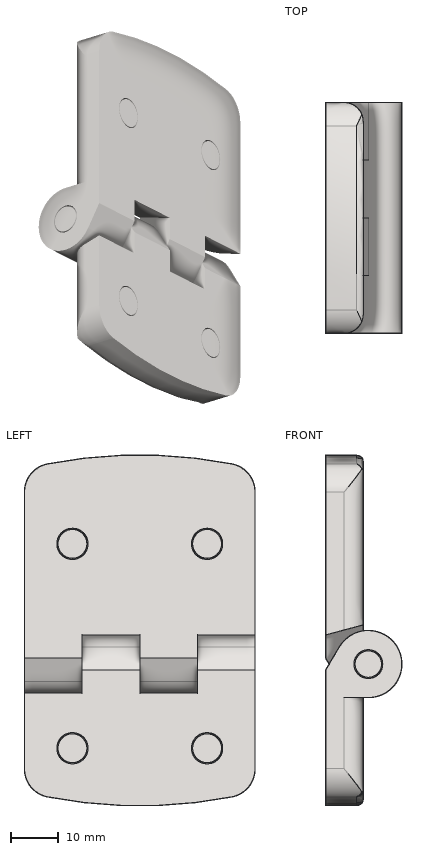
import cadquery as cq
import math

width = 48.0
thickness = 7.85
upper_reach = 43.5
lower_reach = 29.5

crown_radius = 100.0
corner_radius = 6.0
side_round = 4.0
end_round = 1.4

barrel_radius = 7.0
barrel_x = 8.9
knuckle_count = 4
knuckle_length = width / knuckle_count
relief_corner_z = 1.25
slot_edge_z = 6.05
slot_angle = 15.0

pin_diameter = 5.5
pin_bore = 6.0
screw_diameter = 6.0
screw_bore = 6.5
groove_depth = 1.0
screw_spacing = 28.0
upper_screw_z = 25.0
lower_screw_z = 17.5

half_width = width / 2


def leaf_outline(reach):
    """Leaf face with an arched crown, from the barrel axis up, extruded through the thickness."""
    crown_center_z = reach - crown_radius
    corner_y = half_width - corner_radius
    center_gap = crown_radius - corner_radius
    corner_z = crown_center_z + math.sqrt(center_gap**2 - corner_y**2)
    crown_end_y = corner_y * crown_radius / center_gap
    crown_end_z = crown_center_z + (corner_z - crown_center_z) * crown_radius / center_gap

    mid_angle = math.acos(corner_y / center_gap) / 2
    mid_y = corner_y + corner_radius * math.cos(mid_angle)
    mid_z = corner_z + corner_radius * math.sin(mid_angle)
    return (
        cq.Workplane("YZ")
        .moveTo(-half_width, 0)
        .lineTo(half_width, 0)
        .lineTo(half_width, corner_z)
        .threePointArc((mid_y, mid_z), (crown_end_y, crown_end_z))
        .threePointArc((0, reach), (-crown_end_y, crown_end_z))
        .threePointArc((-mid_y, mid_z), (-half_width, corner_z))
        .close()
        .extrude(thickness)
    )


def crown_disc(reach):
    """Disc that follows the crown arc, with a rounded rim on the barrel side of the leaf."""
    return (
        cq.Workplane("YZ", origin=(0, 0, reach - crown_radius))
        .circle(crown_radius)
        .extrude(thickness)
        .edges(">X")
        .fillet(end_round)
    )


def plate(reach):
    """Leaf plate with rounded side edges and a rounded crown edge."""
    section = (
        cq.Workplane("XY")
        .box(thickness, width, reach, centered=(False, True, False))
        .edges("|Z and >X")
        .fillet(side_round)
    )
    return leaf_outline(reach).intersect(section).intersect(crown_disc(reach))


def slot_cutter():
    """Removes the plate below the sloping slot floor, across the whole width."""
    floor_rise = thickness * math.tan(math.radians(slot_angle))
    return (
        cq.Workplane("XZ")
        .polyline([(0, 0), (0, slot_edge_z), (thickness, slot_edge_z + floor_rise), (thickness, 0)])
        .close()
        .extrude(half_width, both=True)
    )


def knuckle(start_y, leaf_plate):
    """Arm of one knuckle, from the barrel to the leaf, with the part of the leaf above it."""
    center_distance = math.hypot(barrel_x, relief_corner_z)
    tangent_length = math.sqrt(center_distance**2 - barrel_radius**2)
    center_direction = math.atan2(relief_corner_z, barrel_x)
    slope = math.atan2(barrel_radius, tangent_length) + center_direction
    tangent_x = tangent_length * math.cos(slope)
    tangent_z = relief_corner_z - tangent_length * math.sin(slope)

    profile = (
        cq.Workplane("XZ", origin=(0, start_y, 0))
        .moveTo(0, barrel_radius)
        .lineTo(0, relief_corner_z)
        .lineTo(tangent_x, tangent_z)
        .lineTo(barrel_x, 0)
        .lineTo(barrel_x, barrel_radius)
        .close()
        .extrude(-knuckle_length)
    )
    strip = (
        cq.Workplane("XY", origin=(0, start_y, barrel_radius))
        .box(thickness, knuckle_length, barrel_radius, centered=False)
    )
    return profile.union(leaf_plate.intersect(strip))


def leaf(reach, first_knuckle):
    """Leaf standing up from the barrel, with every second knuckle."""
    full_plate = plate(reach)
    body = full_plate.cut(slot_cutter())
    for index in range(first_knuckle, knuckle_count, 2):
        body = body.union(knuckle(-half_width + index * knuckle_length, full_plate))
    return body


def ring(plane, origin, outer, inner, depth):
    """Ring-shaped cutter on a face; the sign of depth picks the direction."""
    return cq.Workplane(plane, origin=origin).circle(outer / 2).circle(inner / 2).extrude(depth)


upper_leaf = leaf(upper_reach, 1)
lower_leaf = leaf(lower_reach, 0).mirror("XY")
barrel = (
    cq.Workplane("XZ", origin=(barrel_x, 0, 0))
    .circle(barrel_radius)
    .extrude(half_width, both=True)
)
result = upper_leaf.union(lower_leaf).union(barrel)

for screw_z in (upper_screw_z, -lower_screw_z):
    for screw_y in (-screw_spacing / 2, screw_spacing / 2):
        result = result.cut(ring("YZ", (0, screw_y, screw_z), screw_bore, screw_diameter, groove_depth))

for side in (-1, 1):
    origin = (barrel_x, side * half_width, 0)
    result = result.cut(ring("XZ", origin, pin_bore, pin_diameter, side * groove_depth))